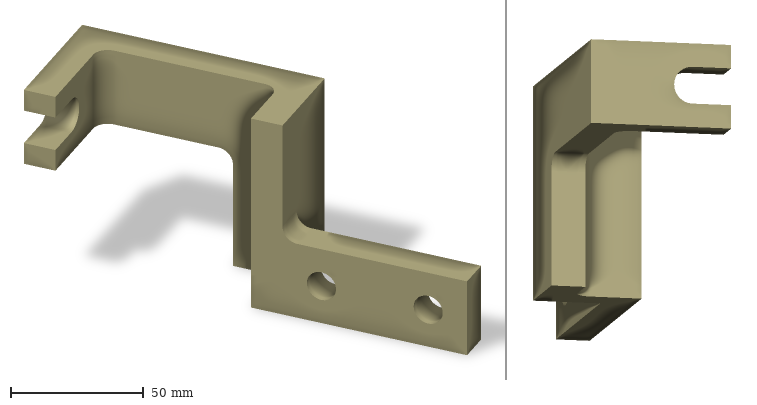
import cadquery as cq

length = 176.0
depth = 54.0
height = 82.0

wall = 13.0
band_height = 32.0
bracket_length = 100.0
leg_depth = 39.0
fillet_radius = 6.0

hole_diameter = 12.0
hole_spacing = 44.0
hole_end_distance = band_height / 2

slot_width = 14.0
slot_depth = 22.0

leg_front = depth - leg_depth
leg_left = bracket_length - band_height
band_bottom = height - band_height


def make_plan():
    """U-shaped bracket with a tab along the front of its short leg, at full height."""
    points = [
        (0, 0),
        (wall, 0),
        (wall, depth - wall),
        (bracket_length - wall, depth - wall),
        (bracket_length - wall, leg_front),
        (length, leg_front),
        (length, leg_front + wall),
        (bracket_length, leg_front + wall),
        (bracket_length, depth),
        (0, depth),
    ]
    body = cq.Workplane("XY").polyline(points).close().extrude(height)
    inner_corners = cq.selectors.BoxSelector(
        (wall / 2, depth - 1.5 * wall, -1.8),
        (bracket_length - wall / 2, depth - wall / 2, height + 1.8),
    )
    return body.edges("|Z").edges(inner_corners).fillet(fillet_radius)


def make_elevation():
    """Stepped outline: high band on the left, leg down, low tab on the right."""
    r = fillet_radius
    outline = (
        cq.Workplane("XZ", origin=(0, depth, 0))
        .moveTo(leg_left, 0)
        .lineTo(length, 0)
        .lineTo(length, band_height)
        .lineTo(bracket_length + r, band_height)
        .radiusArc((bracket_length, band_height + r), r)
        .lineTo(bracket_length, height)
        .lineTo(0, height)
        .lineTo(0, band_bottom)
        .lineTo(leg_left - r, band_bottom)
        .radiusArc((leg_left, band_bottom - r), r)
        .close()
    )
    return outline.extrude(depth)


def make_holes():
    """Two through holes along the middle of the tab."""
    right_hole = length - hole_end_distance
    return (
        cq.Workplane("XZ", origin=(0, leg_front + wall, 0))
        .pushPoints([(right_hole - i * hole_spacing, band_height / 2) for i in range(2)])
        .circle(hole_diameter / 2)
        .extrude(wall)
    )


def make_slot():
    """Round-ended slot through the left arm, open at its front."""
    radius = slot_width / 2
    center_z = height - band_height / 2
    straight = slot_depth - radius
    return (
        cq.Workplane("YZ")
        .moveTo(0, center_z - radius)
        .lineTo(straight, center_z - radius)
        .threePointArc((slot_depth, center_z), (straight, center_z + radius))
        .lineTo(0, center_z + radius)
        .close()
        .extrude(wall)
    )


result = make_plan().intersect(make_elevation()).cut(make_holes()).cut(make_slot())